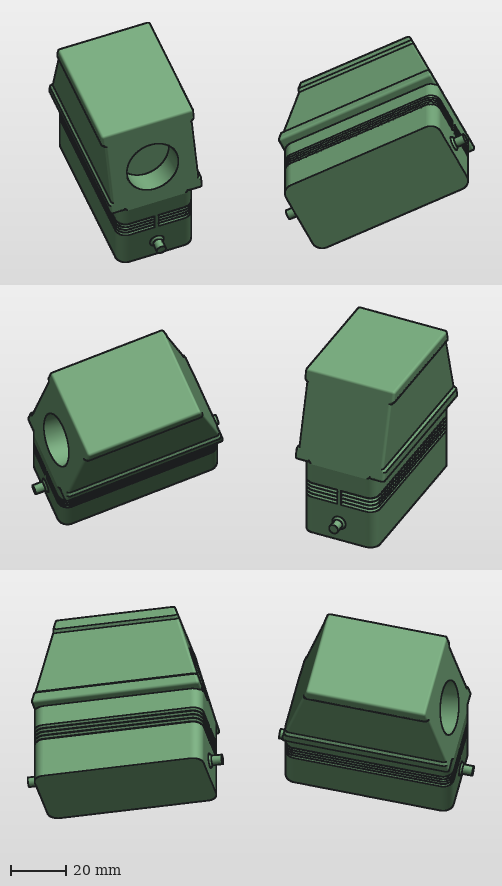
import cadquery as cq
import math

total_height = 64.5
peg_span = 72.0

body_length = 62.8
body_width = 29.4
body_corner_radius = 4.0

hood_bottom_z = 30.0
hood_width = 36.0
panel_recess = 1.0
foot_band_height = 4.0
top_band_height = 4.2
end_slope_degrees = 15.0
hood_edge_radius = 1.0
neck_height = 2.0
slope_run = math.tan(math.radians(end_slope_degrees))
hood_top_length = body_length - 2 * (total_height - hood_bottom_z) * slope_run

groove_count = 4
groove_pitch = 1.56
groove_bottom_z = 15.65
groove_gap = 1.6
groove_wall_degrees = 45.0

peg_diameter = 3.6
peg_z = 7.5
peg_collar_height = 0.9
peg_length = (peg_span - body_length) / 2

entry_diameter = 20.0
entry_depth = 10.0
entry_z = 45.5


def body_block(bottom_z, height, taper=0):
    """Block with the housing outline at bottom_z, narrowing by the taper angle in degrees."""
    outline = cq.Sketch().rect(body_length, body_width).vertices().fillet(body_corner_radius)
    base = cq.Workplane("XY", origin=(0, 0, bottom_z)).placeSketch(outline)
    return base.extrude(height, taper=taper)


def taper_block():
    """Trapezoid in XZ between the two end slopes, wide enough to cover the hood."""
    return (
        cq.Workplane("XZ")
        .polyline(
            [
                (-body_length / 2, hood_bottom_z),
                (body_length / 2, hood_bottom_z),
                (hood_top_length / 2, total_height),
                (-hood_top_length / 2, total_height),
            ]
        )
        .close()
        .extrude(hood_width, both=True)
    )


def groove_cutter(bottom_z):
    """Ring of V section around the housing, open at the middle of both ends."""
    half_pitch = groove_pitch / 2
    lower_wall = body_block(bottom_z, half_pitch, groove_wall_degrees)
    upper_wall = lower_wall.mirror("XY", (0, 0, bottom_z + half_pitch))
    gap_bar = cq.Workplane("XY", origin=(0, 0, bottom_z + half_pitch)).box(
        body_length, groove_gap, groove_pitch
    )
    return body_block(bottom_z, groove_pitch).cut(lower_wall).cut(upper_wall).cut(gap_bar)


def make_body():
    """Housing with its grooves; its top runs into the hood and is trimmed by the end slopes."""
    body = body_block(0, hood_bottom_z)
    for index in range(groove_count):
        body = body.cut(groove_cutter(groove_bottom_z + index * groove_pitch))
    neck = body_block(hood_bottom_z, neck_height).intersect(taper_block())
    return body.union(neck)


def make_hood():
    """Banded YZ section cut to the end slopes, rounded at its ends, top and bottom."""
    half_width = hood_width / 2
    panel_half_width = half_width - panel_recess
    foot_top_z = hood_bottom_z + foot_band_height
    top_band_z = total_height - top_band_height
    back_side = [
        (half_width, hood_bottom_z),
        (half_width, foot_top_z),
        (panel_half_width, foot_top_z + panel_recess),
        (panel_half_width, top_band_z - panel_recess),
        (half_width, top_band_z),
        (half_width, total_height),
    ]
    front_side = [(-y, z) for y, z in reversed(back_side)]
    section = cq.Workplane("YZ").polyline(back_side + front_side).close()
    hood = section.extrude(body_length / 2, both=True).intersect(taper_block())
    return hood.edges("(not |X) or (|X and (>Z or <Z))").fillet(hood_edge_radius)


def make_peg(side):
    """Round peg with a conical collar on the end face; side is -1 or 1."""
    end_plane = cq.Plane(origin=(side * body_length / 2, 0, peg_z), xDir=(0, 1, 0), normal=(side, 0, 0))
    peg_radius = peg_diameter / 2
    shaft = cq.Workplane(end_plane).circle(peg_radius).extrude(peg_length)
    collar = (
        cq.Workplane(end_plane)
        .circle(peg_radius + peg_collar_height)
        .workplane(offset=peg_collar_height)
        .circle(peg_radius)
        .loft()
    )
    return shaft.union(collar)


def make_entry():
    """Bore cutter centred on the +X slope; it also reaches outward to clear the surface."""
    slope = math.radians(end_slope_degrees)
    slope_x = body_length / 2 - (entry_z - hood_bottom_z) * slope_run
    slope_plane = cq.Plane(
        origin=(slope_x, 0, entry_z), xDir=(0, 1, 0), normal=(math.cos(slope), 0, math.sin(slope))
    )
    return cq.Workplane(slope_plane).circle(entry_diameter / 2).extrude(entry_depth, both=True)


result = make_body().union(make_hood()).cut(make_entry())
for side in (-1, 1):
    result = result.union(make_peg(side))